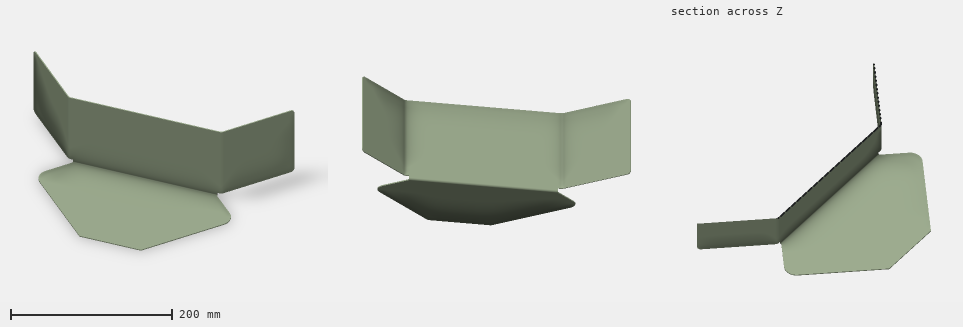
import cadquery as cq
import math

THICKNESS = 1.4

TOP_Z = 105.0
WING_BOTTOM_Z = 5.0
OVERALL_WIDTH = 343.03
OVERALL_DEPTH = 201.77
WING_ANGLE = 45.0
WING_BEND_INNER_RADIUS = 5.4
WING_CORNER_RADIUS = 5.0

PLATE_DEPTH = 129.88
PLATE_BEND_INNER_RADIUS = 1.1
PLATE_ROOT_HALF_WIDTH = 94.9
PLATE_FRONT_HALF_WIDTH = 40.36
PLATE_CORNER_RADIUS = 15.5

wing_cos = math.cos(math.radians(WING_ANGLE))
wing_sin = math.sin(math.radians(WING_ANGLE))
half_turn_tan = math.tan(math.radians(WING_ANGLE / 2))
wing_bend_outer_radius = WING_BEND_INNER_RADIUS + THICKNESS
wing_tip_x = OVERALL_WIDTH / 2
wing_tip_y = OVERALL_DEPTH - PLATE_DEPTH - THICKNESS * wing_cos
wing_root_x = wing_tip_x - wing_tip_y * wing_cos / wing_sin
plate_bend_outer_radius = PLATE_BEND_INNER_RADIUS + THICKNESS
bend_top_z = plate_bend_outer_radius
plate_root_y = THICKNESS - plate_bend_outer_radius

plate_width_change = PLATE_ROOT_HALF_WIDTH - PLATE_FRONT_HALF_WIDTH
plate_side_y = plate_root_y - (PLATE_DEPTH + plate_root_y - plate_width_change) / 2
plate_side_half_width = PLATE_ROOT_HALF_WIDTH + plate_root_y - plate_side_y


def make_wall_and_wings():
    """Wall and both wings: one bent strip of constant height."""
    inner_root_x = wing_root_x - THICKNESS * half_turn_tan
    inner_tip_x = wing_tip_x - THICKNESS * wing_sin
    inner_tip_y = wing_tip_y + THICKNESS * wing_cos
    outline = [
        (-wing_root_x, 0),
        (wing_root_x, 0),
        (wing_tip_x, wing_tip_y),
        (inner_tip_x, inner_tip_y),
        (inner_root_x, THICKNESS),
        (-inner_root_x, THICKNESS),
        (-inner_tip_x, inner_tip_y),
        (-wing_tip_x, wing_tip_y),
    ]
    strip = (
        cq.Workplane("XY")
        .workplane(offset=WING_BOTTOM_Z)
        .polyline(outline)
        .close()
        .extrude(TOP_Z - WING_BOTTOM_Z)
    )

    for side in (-1, 1):
        for corner_x, corner_y, radius in (
            (wing_root_x, 0, wing_bend_outer_radius),
            (inner_root_x, THICKNESS, WING_BEND_INNER_RADIUS),
        ):
            corner = (side * corner_x, corner_y, (TOP_Z + WING_BOTTOM_Z) / 2)
            strip = strip.edges(cq.selectors.NearestToPointSelector(corner)).fillet(radius)

    for side in (-1, 1):
        for corner_z in (WING_BOTTOM_Z, TOP_Z):
            corner = (side * (wing_tip_x + inner_tip_x) / 2, (wing_tip_y + inner_tip_y) / 2, corner_z)
            strip = strip.edges(cq.selectors.NearestToPointSelector(corner)).fillet(WING_CORNER_RADIUS)
    return strip


def make_tab():
    """Foot of the wall, between the wing bottom level and the plate bend."""
    return cq.Workplane("XY").box(
        2 * PLATE_ROOT_HALF_WIDTH,
        THICKNESS,
        WING_BOTTOM_Z - bend_top_z,
        centered=(True, False, False),
    ).translate((0, 0, bend_top_z))


def make_plate_bend():
    """Quarter-round bend between the wall and the plate."""
    diagonal = math.sqrt(0.5)

    def arc_middle(radius):
        return (plate_root_y + radius * diagonal, bend_top_z - radius * diagonal)

    return (
        cq.Workplane("YZ")
        .workplane(offset=-PLATE_ROOT_HALF_WIDTH)
        .moveTo(plate_root_y, 0)
        .threePointArc(arc_middle(plate_bend_outer_radius), (THICKNESS, bend_top_z))
        .lineTo(0, bend_top_z)
        .threePointArc(arc_middle(PLATE_BEND_INNER_RADIUS), (plate_root_y, THICKNESS))
        .close()
        .extrude(2 * PLATE_ROOT_HALF_WIDTH)
    )


def make_plate():
    """Six-sided plate with rounded side corners."""
    plate = (
        cq.Workplane("XY")
        .polyline([
            (-PLATE_ROOT_HALF_WIDTH, plate_root_y),
            (PLATE_ROOT_HALF_WIDTH, plate_root_y),
            (plate_side_half_width, plate_side_y),
            (PLATE_FRONT_HALF_WIDTH, -PLATE_DEPTH),
            (-PLATE_FRONT_HALF_WIDTH, -PLATE_DEPTH),
            (-plate_side_half_width, plate_side_y),
        ])
        .close()
        .extrude(THICKNESS)
    )
    return plate.edges("|Z and (<X or >X)").fillet(PLATE_CORNER_RADIUS)


result = make_wall_and_wings().union(make_tab()).union(make_plate_bend()).union(make_plate())